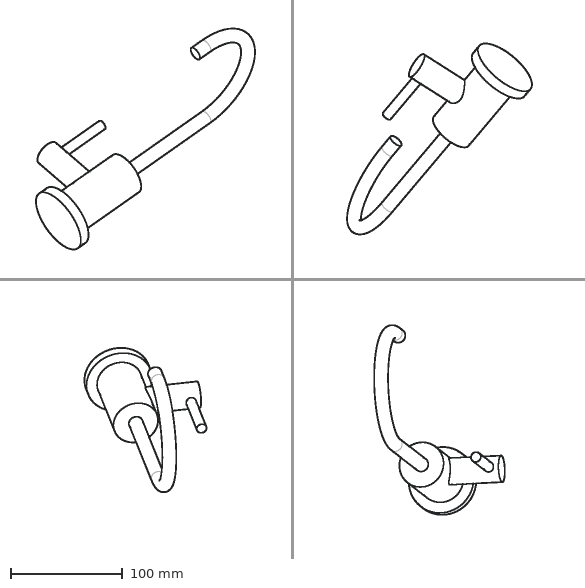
import cadquery as cq

flange_diameter = 60.3
flange_thickness = 9.5
body_diameter = 41.0
body_end = 81.7

spout_diameter = 12.7
spout_bend_diameter = 101.5
spout_tip_length = 13.0
overall_length = 235.5
bend_start = overall_length - (spout_bend_diameter + spout_diameter) / 2

arm_diameter = 24.0
arm_reach = 65.0
arm_position = 45.2
lever_diameter = 9.2
lever_offset = 55.8
lever_end = 103.5


def cylinder_along_y(diameter, start, end, x=0):
    """Cylinder parallel to Y between two Y positions."""
    return cq.Workplane(
        cq.Solid.makeCylinder(diameter / 2, end - start, cq.Vector(x, start, 0), cq.Vector(0, 1, 0))
    )


def make_spout():
    """Round bar swept along the hooked centre line in the YZ plane."""
    path = (
        cq.Workplane("YZ")
        .moveTo(0, 0)
        .lineTo(bend_start, 0)
        .threePointArc(
            (bend_start + spout_bend_diameter / 2, spout_bend_diameter / 2),
            (bend_start, spout_bend_diameter),
        )
        .lineTo(bend_start - spout_tip_length, spout_bend_diameter)
    )
    return cq.Workplane("XZ").circle(spout_diameter / 2).sweep(path)


def make_arm():
    """Cylinder from the body axis out to the -X end."""
    return cq.Workplane(
        cq.Solid.makeCylinder(
            arm_diameter / 2, arm_reach, cq.Vector(0, arm_position, 0), cq.Vector(-1, 0, 0)
        )
    )


flange = cylinder_along_y(flange_diameter, 0, flange_thickness)
body = cylinder_along_y(body_diameter, 0, body_end)
lever = cylinder_along_y(lever_diameter, arm_position, lever_end, x=-lever_offset)

result = flange.union(body).union(make_spout()).union(make_arm()).union(lever)